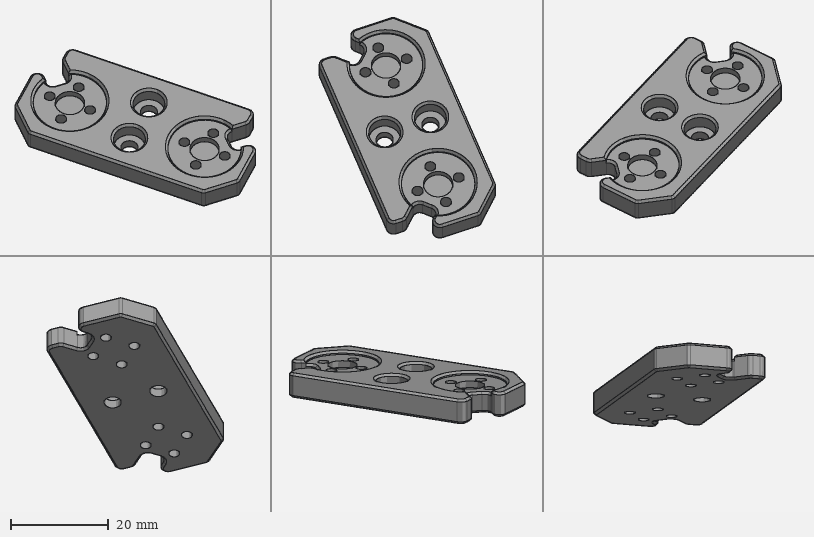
import cadquery as cq
import math

length = 50.0
width = 23.75
thickness = 5.2
edge_chamfer = 0.5
shoulder_half_length = 20.8
front_corner_cut = 5.5
back_corner_radius = 1.5
front_corner_radius = 1.0

pocket_x = 15.0
pocket_y = -1.0
pocket_diameter = 15.0
pocket_depth = 0.8
pocket_chamfer = 0.5
recess_diameter = 6.0
recess_depth = 1.4
pin_hole_diameter = 2.2
pin_hole_offset = 4.5
pin_hole_count = 4

slot_width = 5.0
slot_floor_distance = 5.5

screw_y = 5.0
screw_hole_diameter = 3.5
counterbore_diameter = 6.5
counterbore_depth = 3.2
counterbore_chamfer = 0.5


def slot_point(along, across):
    """Point of the left slot, measured from the pocket centre along the slot and to its back side."""
    diagonal = math.sqrt(0.5)
    x = -pocket_x + (across - along) * diagonal
    y = pocket_y + (across + along) * diagonal
    return x, y


def left_outline():
    """Sharp corners of the left half, from the back to the front, each with its rounding radius."""
    half_length = length / 2
    half_width = width / 2
    slot_back = slot_point(slot_floor_distance, slot_width / 2)
    slot_front = slot_point(slot_floor_distance, -slot_width / 2)
    shoulder_y = sum(slot_back) + shoulder_half_length
    tip_y = sum(slot_front) + half_length
    return [
        ((-shoulder_half_length, half_width), back_corner_radius),
        ((-shoulder_half_length, shoulder_y), back_corner_radius),
        (slot_back, back_corner_radius),
        (slot_front, back_corner_radius),
        ((-half_length, tip_y), back_corner_radius),
        ((-half_length, -half_width + front_corner_cut), front_corner_radius),
        ((-half_length + front_corner_cut, -half_width), front_corner_radius),
    ]


def chamfered_plate(height):
    """Plate of the given height with rounded corners and chamfered top and bottom edges."""
    corners = left_outline()
    left_points = [point for point, _ in corners]
    right_points = [(-x, y) for x, y in reversed(left_points)]
    plate = cq.Workplane("XY").polyline(left_points + right_points).close().extrude(height)
    for (x, y), radius in corners:
        for corner_x in (x, -x):
            corner = cq.selectors.NearestToPointSelector((corner_x, y, height / 2))
            plate = plate.edges("|Z").edges(corner).fillet(radius)
    return plate.faces("<Z or >Z").edges().chamfer(edge_chamfer)


def sink(x, y, diameter, depth, chamfer):
    """Round cutter from the top face down, with a chamfered mouth."""
    radius = diameter / 2
    profile = [
        (0, thickness),
        (radius + chamfer, thickness),
        (radius, thickness - chamfer),
        (radius, thickness - depth),
        (0, thickness - depth),
    ]
    cutter = cq.Workplane("XZ").polyline(profile).close().revolve(360, (0, 0, 0), (0, 1, 0))
    return cutter.translate((x, y, 0))


def cylinder(x, y, diameter, bottom=0.0):
    """Round cutter from the bottom height up to the top face."""
    base = cq.Workplane("XY", origin=(x, y, bottom))
    return base.circle(diameter / 2).extrude(thickness - bottom)


def cut_pocket(body, x):
    """Pocket with a centre recess and a ring of pin holes; its floor is chamfered along the slot."""
    floor_z = thickness - pocket_depth
    pocket = sink(x, pocket_y, pocket_diameter, thickness, pocket_chamfer)
    body = body.cut(pocket.cut(chamfered_plate(floor_z)))
    body = body.cut(cylinder(x, pocket_y, recess_diameter, floor_z - recess_depth))
    for index in range(pin_hole_count):
        angle = 2 * math.pi * index / pin_hole_count
        hole_x = x + pin_hole_offset * math.cos(angle)
        hole_y = pocket_y + pin_hole_offset * math.sin(angle)
        body = body.cut(cylinder(hole_x, hole_y, pin_hole_diameter))
    return body


def cut_screw_hole(body, y):
    """Through hole with a chamfered counterbore."""
    body = body.cut(sink(0, y, counterbore_diameter, counterbore_depth, counterbore_chamfer))
    return body.cut(cylinder(0, y, screw_hole_diameter))


result = chamfered_plate(thickness)
for side in (-1, 1):
    result = cut_pocket(result, side * pocket_x)
    result = cut_screw_hole(result, side * screw_y)